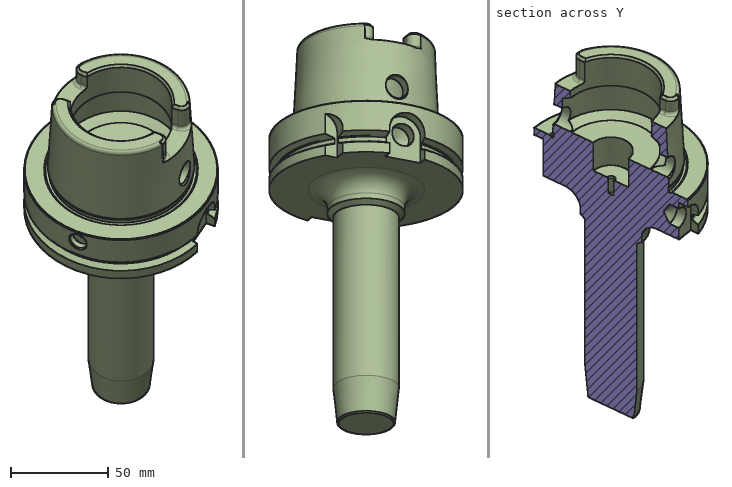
import cadquery as cq
import math

shank_top = 49.9
nose_bottom = -160.0
flange_height = 29.0

gauge_radius = 37.5
gauge_level = 10.0
taper_slope = 1 / 20
shank_rim_fillet = 2.0
relief_top = 2.9
relief_radius = 37.3
relief_lead = 1.5
relief_depth = 0.8
relief_outer_radius = 39.7

flange_radius = 50.0
flange_chamfer = 0.5
groove_level = -20.0
groove_root_radius = 46.0
groove_root_width = 3.2
groove_root_fillet = 0.6
groove_side_angle = 22.0

neck_radius = 20.0
neck_fillet = 10.0
neck_bottom = -42.2
neck_step_end = -44.5
body_radius = 17.0
nose_start = -140.0
nose_radius = 15.0
nose_chamfer = 0.8

mouth_radius = 26.2
mouth_chamfer = 1.2
clamp_level = 30.4
clamp_angle = 60.0
chamber_radius = 31.5
chamber_corner = 10.6
floor_radius = 25.3
floor_level = 8.4
tube_radius = 11.3
tube_floor = -10.0
coolant_radius = 1.6
coolant_chamfer = 0.8
coolant_depth = 10.0

slot_half_width = 9.7
slot_corner_radius = 4.3
slot_floor_fillet = 1.8
slot_lip = 1.5
slot_lip_angle = 45.0
slot_floor_left = 40.1
slot_floor_right = 35.0

cross_radius = 6.3
cross_level = 14.8
cross_chamfer = 0.6
cross_flare = 2.0

keyway_radius = 10.0
keyway_center_level = -15.0
keyway_floor = 44.0
notch_floor = 31.8
pocket_radius = 6.2
pocket_depth = 6.0
drill_tip_angle = 118.0
screw_radius = 4.7
screw_level = -7.1
screw_chamfer = 0.7
screw_depth = 4.0
screw_pin_radius = 0.4
screw_pin_depth = 1.0


def taper_radius(level):
    return gauge_radius - (level - gauge_level) * taper_slope


def make_body():
    """Revolve the outer profile: taper, flange, neck and nose."""
    root_half = groove_root_width / 2
    mouth_half = root_half + (flange_radius - groove_root_radius) * math.tan(math.radians(groove_side_angle))
    bend = neck_fillet * (1 - math.sqrt(0.5))
    profile = (
        cq.Workplane("XZ")
        .moveTo(0, shank_top)
        .lineTo(taper_radius(shank_top), shank_top)
        .lineTo(taper_radius(relief_top), relief_top)
        .lineTo(relief_radius, relief_top - relief_lead)
        .lineTo(relief_radius, -relief_depth)
        .lineTo(relief_outer_radius - relief_depth, -relief_depth)
        .lineTo(relief_outer_radius, 0)
        .lineTo(flange_radius - flange_chamfer, 0)
        .lineTo(flange_radius, -flange_chamfer)
        .lineTo(flange_radius, groove_level + mouth_half)
        .lineTo(groove_root_radius, groove_level + root_half)
        .lineTo(groove_root_radius, groove_level - root_half)
        .lineTo(flange_radius, groove_level - mouth_half)
        .lineTo(flange_radius, -flange_height)
        .lineTo(neck_radius + neck_fillet, -flange_height)
        .threePointArc(
            (neck_radius + bend, -flange_height - bend),
            (neck_radius, -flange_height - neck_fillet),
        )
        .lineTo(neck_radius, neck_bottom)
        .lineTo(body_radius, neck_step_end)
        .lineTo(body_radius, nose_start)
        .lineTo(nose_radius, nose_bottom + nose_chamfer)
        .lineTo(nose_radius - nose_chamfer, nose_bottom)
        .lineTo(0, nose_bottom)
        .close()
    )
    body = profile.revolve(360, (0, 0, 0), (0, 1, 0))
    body = body.faces(">Z").edges().fillet(shank_rim_fillet)
    root_edges = body.edges("%CIRCLE").filter(
        lambda edge: math.isclose(edge.radius(), groove_root_radius, abs_tol=0.01)
    )
    return root_edges.fillet(groove_root_fillet)


def make_bore():
    """Revolve the hollow: mouth, clamping chamber, tube seat and coolant hole."""
    clamp_drop = (chamber_radius - mouth_radius) / math.tan(math.radians(clamp_angle))
    return (
        cq.Workplane("XZ")
        .moveTo(0, shank_top)
        .lineTo(mouth_radius + mouth_chamfer, shank_top)
        .lineTo(mouth_radius, shank_top - mouth_chamfer)
        .lineTo(mouth_radius, clamp_level)
        .lineTo(chamber_radius, clamp_level - clamp_drop)
        .lineTo(chamber_radius, chamber_corner)
        .lineTo(floor_radius, floor_level)
        .lineTo(tube_radius, floor_level)
        .lineTo(tube_radius, tube_floor)
        .lineTo(coolant_radius + coolant_chamfer, tube_floor)
        .lineTo(coolant_radius, tube_floor - coolant_chamfer)
        .lineTo(coolant_radius, tube_floor - coolant_depth)
        .lineTo(0, tube_floor - coolant_depth)
        .close()
        .revolve(360, (0, 0, 0), (0, 1, 0))
    )


def slot_outline(plane):
    """Outline a drive slot towards +X whose walls flare out into the taper."""
    rim_radius = taper_radius(shank_top)
    arc_y = slot_half_width + slot_corner_radius
    arc_x = math.sqrt((rim_radius - slot_corner_radius) ** 2 - arc_y ** 2)
    reach = rim_radius / (rim_radius - slot_corner_radius)
    end_x = arc_x * reach
    end_y = arc_y * reach
    middle = (math.atan2(arc_y, arc_x) - math.pi / 2) / 2
    mid_x = arc_x + slot_corner_radius * math.cos(middle)
    mid_y = arc_y + slot_corner_radius * math.sin(middle)
    return (
        plane.moveTo(0, -slot_half_width)
        .lineTo(arc_x, -slot_half_width)
        .threePointArc((mid_x, -mid_y), (end_x, -end_y))
        .lineTo(flange_radius, -end_y)
        .lineTo(flange_radius, end_y)
        .lineTo(end_x, end_y)
        .threePointArc((mid_x, mid_y), (arc_x, slot_half_width))
        .lineTo(0, slot_half_width)
        .close()
    )


def make_drive_slot(slot_floor, turn):
    """One rim slot with rounded floor corners and a bevelled lip."""
    plane = cq.Workplane("XY").workplane(offset=slot_floor)
    slot = slot_outline(plane).extrude(shank_top - slot_floor)
    wall_feet = slot.faces("<Z").edges().filter(
        lambda edge: edge.BoundingBox().xmax < taper_radius(shank_top) and edge.BoundingBox().xlen > 0.01
    )
    slot = wall_feet.fillet(slot_floor_fillet)
    lip_plane = cq.Workplane("XY").workplane(offset=shank_top - slot_lip)
    lip = slot_outline(lip_plane).extrude(slot_lip, taper=-slot_lip_angle)
    slot = slot.union(lip)
    return slot.rotate((0, 0, 0), (0, 0, 1), turn)


def make_cross_hole(side):
    """Hole along X from the outside into the clamping chamber, chamfered at the taper."""
    chamfer_start = taper_radius(cross_level) - cross_chamfer
    chamfer_end = chamfer_start + cross_flare
    hole = (
        cq.Workplane("XY")
        .moveTo(side * mouth_radius, 0)
        .lineTo(side * mouth_radius, cross_radius)
        .lineTo(side * chamfer_start, cross_radius)
        .lineTo(side * chamfer_end, cross_radius + cross_flare)
        .lineTo(side * chamfer_end, 0)
        .close()
        .revolve(360, (0, 0, 0), (1, 0, 0))
    )
    return hole.translate((0, 0, cross_level))


def make_keyway(center_y, floor_x, direction):
    """Round-topped slot, open downwards, cut along X from floor_x outwards."""
    length = flange_radius
    leg = flange_height + keyway_center_level
    keyway = (
        cq.Workplane("YZ", origin=(0, center_y, keyway_center_level))
        .moveTo(-keyway_radius, -leg)
        .lineTo(-keyway_radius, 0)
        .threePointArc((0, keyway_radius), (keyway_radius, 0))
        .lineTo(keyway_radius, -leg)
        .close()
        .extrude(direction * length)
    )
    return keyway.translate((direction * floor_x, 0, 0))


def make_pocket():
    """Drilled pocket in the floor of the -X keyway."""
    tip = pocket_radius / math.tan(math.radians(drill_tip_angle / 2))
    profile = (
        cq.Workplane("XY")
        .moveTo(-keyway_floor, 0)
        .lineTo(-keyway_floor, pocket_radius)
        .lineTo(-keyway_floor + pocket_depth, pocket_radius)
        .lineTo(-keyway_floor + pocket_depth + tip, 0)
        .close()
    )
    pocket = profile.revolve(360, (0, 0, 0), (1, 0, 0))
    return pocket.translate((0, 0, keyway_center_level))


def make_screw_hole():
    """Stepped radial hole on the -Y side of the flange."""
    rim = -flange_radius
    floor = rim + screw_depth
    profile = (
        cq.Workplane("XY")
        .moveTo(0, rim)
        .lineTo(screw_radius + screw_chamfer, rim)
        .lineTo(screw_radius, rim + screw_chamfer)
        .lineTo(screw_radius, floor)
        .lineTo(screw_pin_radius, floor)
        .lineTo(screw_pin_radius, floor + screw_pin_depth)
        .lineTo(0, floor + screw_pin_depth)
        .close()
    )
    hole = profile.revolve(360, (0, 0, 0), (0, 1, 0))
    return hole.translate((0, 0, screw_level))


result = make_body().cut(make_bore())
result = result.cut(make_drive_slot(slot_floor_left, 180))
result = result.cut(make_drive_slot(slot_floor_right, 0))
for side in (-1, 1):
    result = result.cut(make_cross_hole(side))
    result = result.cut(make_keyway(0, keyway_floor, side))
result = result.cut(make_keyway(notch_floor + keyway_radius, notch_floor, -1))
result = result.cut(make_pocket())
result = result.cut(make_screw_hole())